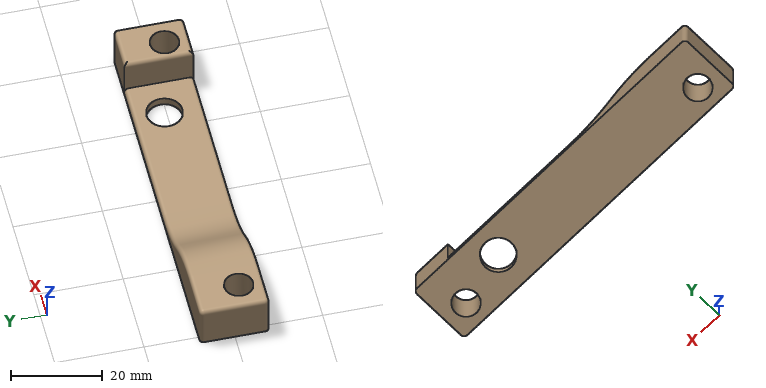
import cadquery as cq
import math

length = 83.5
width = 15.5
height = 10.0

floor_thickness = 2.0
curve_start = 10.85
curve_end = 36.0
wall_x = 73.0
edge_radius = 1.0

screw_hole_diameter = 6.4
screw_hole_y = -2.25
screw_hole_xs = (6.0, 77.4)
floor_hole_diameter = 8.0
floor_hole_x = 64.5
floor_hole_y = 0.75

half_run = (curve_end - curve_start) / 2
half_drop = (height - floor_thickness) / 2
curve_radius = (half_run**2 + half_drop**2) / (2 * half_drop)
quarter_angle = math.asin(half_run / curve_radius) / 2
arc_mid_run = curve_radius * math.sin(quarter_angle)
arc_mid_drop = curve_radius * (1 - math.cos(quarter_angle))


def make_curved_strip():
    """Raised left end flowing down to the thin floor, ending flat at the wall."""
    strip = (
        cq.Workplane("XZ")
        .lineTo(0, height)
        .lineTo(curve_start, height)
        .threePointArc(
            (curve_start + arc_mid_run, height - arc_mid_drop),
            (curve_start + half_run, height - half_drop),
        )
        .threePointArc(
            (curve_end - arc_mid_run, floor_thickness + arc_mid_drop),
            (curve_end, floor_thickness),
        )
        .lineTo(wall_x, floor_thickness)
        .lineTo(wall_x, 0)
        .close()
        .extrude(width / 2, both=True)
    )
    strip = strip.edges("|Z and <X").fillet(edge_radius)
    return strip.faces(">Z").edges("not(>X)").fillet(edge_radius)


def make_end_block():
    """Upright block with rounded outer corners and a rounded top rim."""
    block_length = length - wall_x
    block = cq.Workplane("XY").box(block_length, width, height, centered=(False, True, False))
    block = block.edges("|Z and >X").fillet(edge_radius)
    return block.faces(">Z").edges().fillet(edge_radius).translate((wall_x, 0, 0))


def make_hole_cutter(diameter, positions):
    return cq.Workplane("XY").pushPoints(positions).circle(diameter / 2).extrude(height)


screw_positions = [(x, screw_hole_y) for x in screw_hole_xs]
result = (
    make_curved_strip()
    .union(make_end_block())
    .cut(make_hole_cutter(screw_hole_diameter, screw_positions))
    .cut(make_hole_cutter(floor_hole_diameter, [(floor_hole_x, floor_hole_y)]))
)